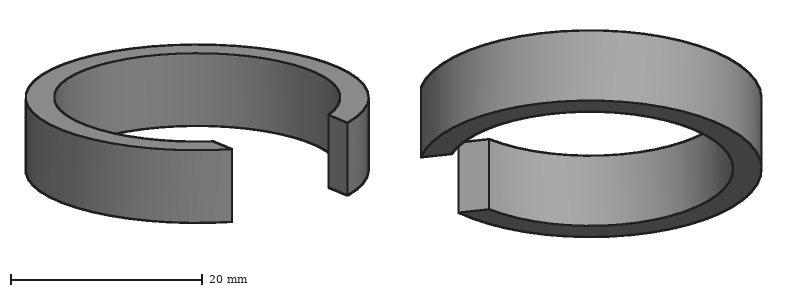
import cadquery as cq

outer_diameter = 35.87
wall_thickness = 2.98
height = 8.0
gap_width = 15.0

outer_radius = outer_diameter / 2
inner_radius = outer_radius - wall_thickness

ring = cq.Workplane("XY").circle(outer_radius).circle(inner_radius).extrude(height)

gap = cq.Workplane("XY").box(outer_diameter, gap_width, height, centered=(False, True, False))

result = ring.cut(gap)